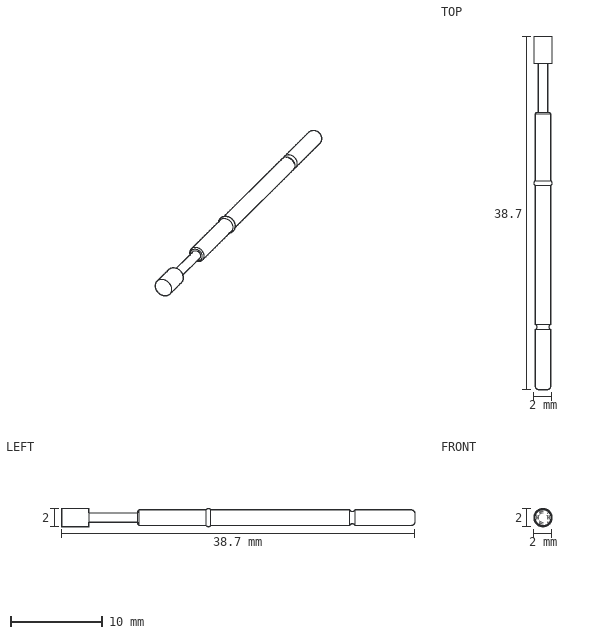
import cadquery as cq

total_length = 38.7

head_diameter = 2.0
head_length = 2.98

plunger_diameter = 1.05
plunger_length = 5.35

barrel_diameter = 1.75
barrel_chamfer = 0.15
tip_fillet = 0.45

collar_diameter = 2.0
collar_width = 0.5
collar_center_y = 22.65

groove_width = 0.58
groove_depth = 0.2
groove_center_y = 6.9

head_start = total_length - head_length
barrel_length = head_start - plunger_length
barrel_radius = barrel_diameter / 2


def cylinder(diameter, start_y, length):
    """Solid cylinder along +Y beginning at start_y."""
    base = cq.Workplane("XZ", origin=(0, start_y, 0))
    return base.circle(diameter / 2).extrude(-length)


def arc_ring(center_y, width, edge_radius, middle_radius):
    """Revolved band whose cross-section is closed by an arc on the barrel surface."""
    return (
        cq.Workplane("XY")
        .moveTo(edge_radius, center_y - width / 2)
        .threePointArc((middle_radius, center_y), (edge_radius, center_y + width / 2))
        .close()
        .revolve(360, (0, 0, 0), (0, 1, 0))
    )


barrel = cylinder(barrel_diameter, 0, barrel_length)
barrel = barrel.faces("<Y").edges().fillet(tip_fillet)
barrel = barrel.faces(">Y").edges().chamfer(barrel_chamfer)

collar = arc_ring(collar_center_y, collar_width, barrel_radius, collar_diameter / 2)
groove = arc_ring(groove_center_y, groove_width, barrel_radius, barrel_radius - groove_depth)

plunger = cylinder(plunger_diameter, barrel_length, plunger_length)
head = cylinder(head_diameter, head_start, head_length)

result = barrel.union(collar).cut(groove).union(plunger).union(head)